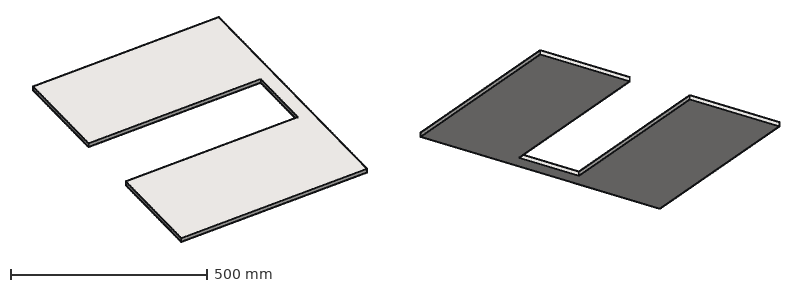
import cadquery as cq

width = 730.0
depth = 552.5
thickness = 12.5

slot_width = 182.5
bridge_depth = 41.0
slot_depth = depth - bridge_depth

panel = cq.Workplane("XY").box(width, depth, thickness)
slot = (
    cq.Workplane("XY")
    .box(slot_width, slot_depth, thickness)
    .translate((0, -bridge_depth / 2, 0))
)

result = panel.cut(slot)